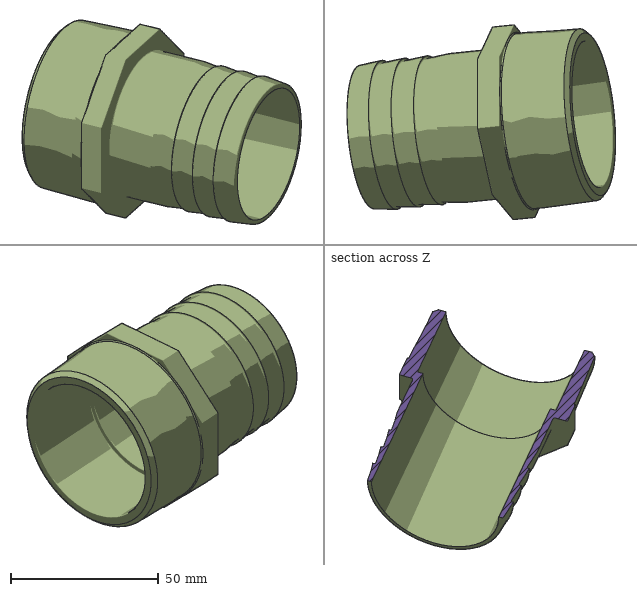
import cadquery as cq
import math


total_length = 80.0
thread_chamfer = 1.6
taper_end = 20.4
collar_start = 24.0
collar_width = 8.0
barb_start = 48.0
barb_count = 4
bore_step_x = 28.5

thread_radius = 30.0
thread_taper = 1 / 32
hose_radius = 25.5
barb_root_radius = 24.6
thread_bore_radius = 25.0
hose_bore_radius = 23.0

across_flats = 61.0
flat_count = 8

thread_root_fillet = 0.4
collar_fillet = 0.4
hose_root_fillet = 0.5
barb_root_fillet = 0.5
tip_fillet = 0.5
bore_fillet = 0.3

match_tolerance = 1e-3

collar_end = collar_start + collar_width
barb_pitch = (total_length - barb_start) / barb_count
thread_tip_radius = thread_radius - (taper_end - thread_chamfer) * thread_taper
mouth_radius = thread_tip_radius - thread_chamfer


def fillet_ring(solid, x, radius, fillet):
    """Round the circular edge of the given radius that lies at station x."""
    rings = [
        edge
        for edge in solid.edges("%CIRCLE").vals()
        if math.isclose(edge.Center().x, x, abs_tol=match_tolerance)
        and math.isclose(edge.radius(), radius, abs_tol=match_tolerance)
    ]
    return solid.newObject(rings).fillet(fillet)


def revolve_about_x(profile):
    return profile.close().revolve(360, (0, 0, 0), (1, 0, 0))


def turned_body():
    profile = (
        cq.Workplane("XY")
        .lineTo(0, mouth_radius)
        .lineTo(thread_chamfer, thread_tip_radius)
        .lineTo(taper_end, thread_radius)
        .lineTo(collar_start - thread_root_fillet, thread_radius)
        .radiusArc((collar_start, thread_radius + thread_root_fillet), -thread_root_fillet)
        .lineTo(collar_end, hose_radius + hose_root_fillet)
        .radiusArc((collar_end + hose_root_fillet, hose_radius), -hose_root_fillet)
    )
    for index in range(barb_count):
        crest_x = barb_start + index * barb_pitch
        profile = profile.lineTo(crest_x, hose_radius)
        profile = profile.lineTo(crest_x + barb_pitch, barb_root_radius)
    body = revolve_about_x(profile.lineTo(total_length, 0))

    for index in range(1, barb_count):
        root_x = barb_start + index * barb_pitch
        body = fillet_ring(body, root_x, barb_root_radius, barb_root_fillet)
    return fillet_ring(body, total_length, barb_root_radius, tip_fillet)


def wrench_collar():
    across_corners = across_flats / math.cos(math.pi / flat_count)
    return (
        cq.Workplane("YZ", origin=(collar_start, 0, 0))
        .transformed(rotate=(0, 0, 180 / flat_count))
        .polygon(flat_count, across_corners)
        .extrude(collar_width)
        .edges()
        .fillet(collar_fillet)
    )


def bore():
    profile = (
        cq.Workplane("XY")
        .lineTo(0, thread_bore_radius)
        .lineTo(bore_step_x, thread_bore_radius)
        .lineTo(bore_step_x, hose_bore_radius)
        .lineTo(total_length, hose_bore_radius)
        .lineTo(total_length, 0)
    )
    return revolve_about_x(profile)


def round_bore_edges(fitting):
    fitting = fillet_ring(fitting, 0, thread_bore_radius, bore_fillet)
    fitting = fillet_ring(fitting, bore_step_x, thread_bore_radius, bore_fillet)
    return fillet_ring(fitting, bore_step_x, hose_bore_radius, bore_fillet)


fitting = round_bore_edges(turned_body().union(wrench_collar()).cut(bore()))
result = cq.Workplane(fitting.solids().val())